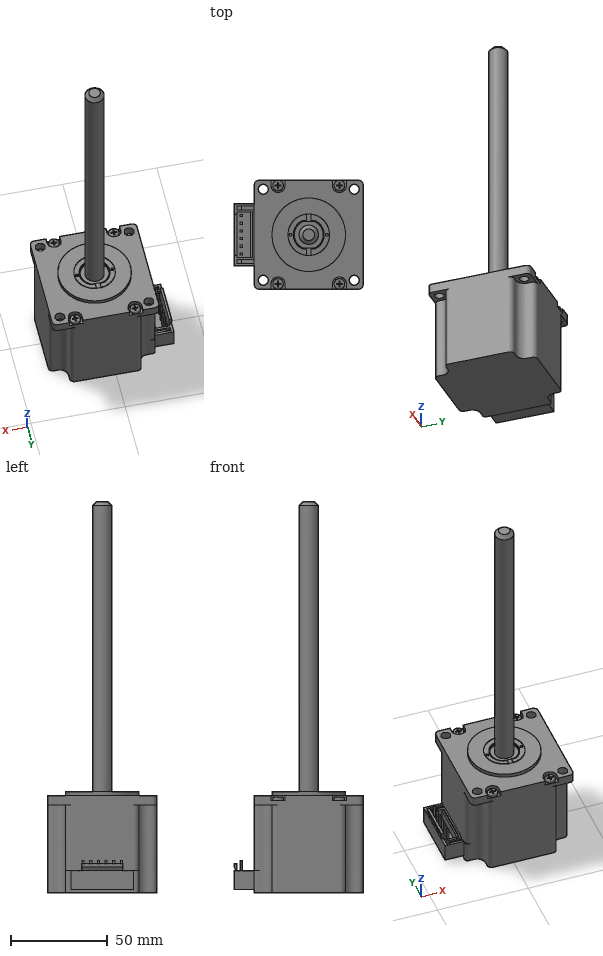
import cadquery as cq
import math

BODY_SIZE = 56.54
HALF = BODY_SIZE / 2
FLANGE_TOP = 50.4
FLANGE_THICKNESS = 5.0
FLANGE_BOTTOM = FLANGE_TOP - FLANGE_THICKNESS
FLANGE_CORNER_RADIUS = 2.5
REAR_CAP_TOP = 11.5
FRONT_CAP_BOTTOM = 39.5
MOUNT_OFFSET = 47.14 / 2
MOUNT_HOLE_DIA = 5.0
RELIEF_RADIUS = 4.6
LOBE_RADIUS = 2.4
REAR_LOBE_RADIUS = 1.6
WALL_THICKNESS = 0.5

PILOT_DIA = 38.1
PILOT_HEIGHT = 2.0
PILOT_TOP = FLANGE_TOP + PILOT_HEIGHT
RING_DIA = 21.5
RING_DEPTH = 0.3
RING_FACE = PILOT_TOP - RING_DEPTH
BORE_DIA = 16.0
BORE_STEP_DIA = 15.0
BORE_FLAT_OFFSET = 7.3
STEP_FLAT_OFFSET = 6.9
BORE_STEP_DEPTH = 0.5
BORE_DEPTH = 1.5
KEY_SLOT_WIDTH = 2.5
KEY_SLOT_DEPTH = 0.5
SPANNER_HOLE_DIA = 1.5
SPANNER_HOLE_OFFSET = (BORE_DIA + RING_DIA) / 4
SPANNER_HOLE_DEPTH = 1.0

OVERALL_HEIGHT = 202.7
SHAFT_DIA = 10.0
SHAFT_TIP_DIA = 6.0
SHAFT_CHAMFER = (SHAFT_DIA - SHAFT_TIP_DIA) / 2

SCREW_X = 15.9
SCREW_Y = 25.5
SCREW_POCKET_DIA = 7.2
SCREW_POCKET_DEPTH = 2.5
SCREW_HEAD_DIA = 5.5
SCREW_HEAD_HEIGHT = 1.7
SCREW_HEAD_ROUND = 0.6
CROSS_LENGTH = 3.0
CROSS_WIDTH = 0.5
CROSS_DEPTH = 1.0

OVERALL_X = 66.9
CONN_OUTER_X = HALF - OVERALL_X
CONN_WIDTH = 32.2
CONN_BOTTOM = 1.7
CONN_TOP = REAR_CAP_TOP
CAVITY_WIDTH = 23.4
CAVITY_OUTER_X = CONN_OUTER_X + 1.4
CAVITY_INNER_X = -HALF - 0.9
CAVITY_LEDGE = 0.9
LEDGE_DEPTH = 1.0
CAVITY_DEPTH = 6.0
GROOVE_WIDTH = 1.9
GROOVE_END_WALL = 1.3
GROOVE_DEPTH = 1.0
NOTCH_LENGTH = 2.3
NOTCH_DEPTH = 2.0
TAB_WIDTH = 21.3
TAB_THICKNESS = 0.6
TAB_HEIGHT = 3.7
HOOK_START = 0.2
HOOK_FULL = 1.8
PIN_COUNT = 6
PIN_PITCH = 3.96
PIN_SIZE = 1.14
PIN_X = -35.0
PIN_PROTRUSION = 5.2

SIGNS = (-1, 1)
CORNERS = [(sx, sy) for sx in SIGNS for sy in SIGNS]
OVERLAP = 0.5


def box_between(x_range, y_range, z_range):
    """Axis-aligned box spanning the three (low, high) ranges."""
    sizes = [high - low for low, high in (x_range, y_range, z_range)]
    corner = (x_range[0], y_range[0], z_range[0])
    return cq.Workplane("XY").box(*sizes, centered=False).translate(corner)


def cylinder(diameter, bottom, top, center=(0, 0)):
    """Vertical cylinder between two heights."""
    plane = cq.Workplane("XY", origin=(0, 0, bottom))
    return plane.center(*center).circle(diameter / 2).extrude(top - bottom)


def corner_relief(sx, sy, bottom, top, x_side_radius):
    """Cutter that leaves a concave corner with a convex lobe on either side."""
    inner = MOUNT_OFFSET - RELIEF_RADIUS
    outside = HALF + OVERLAP
    slope = math.sqrt(0.5)
    diagonal = MOUNT_OFFSET - RELIEF_RADIUS * slope
    rx = x_side_radius
    ry = LOBE_RADIUS

    def at(x, y):
        return (sx * x, sy * y)

    def lobe_middle(radius):
        return HALF - radius + radius * slope, inner - radius + radius * slope

    x_mid = lobe_middle(rx)
    y_mid = lobe_middle(ry)
    outline = (
        cq.Workplane("XY", origin=(0, 0, bottom))
        .moveTo(*at(outside, inner - rx))
        .lineTo(*at(HALF, inner - rx))
        .threePointArc(at(*x_mid), at(HALF - rx, inner))
        .lineTo(*at(MOUNT_OFFSET, inner))
        .threePointArc(at(diagonal, diagonal), at(inner, MOUNT_OFFSET))
        .lineTo(*at(inner, HALF - ry))
        .threePointArc(at(y_mid[1], y_mid[0]), at(inner - ry, HALF))
        .lineTo(*at(inner - ry, outside))
        .lineTo(*at(outside, outside))
        .close()
    )
    return outline.extrude(top - bottom)


def body_section(bottom, top, connector_side_radius=LOBE_RADIUS):
    """One length of the housing, square with a relief in each corner."""
    span = (-HALF, HALF)
    section = box_between(span, span, (bottom, top))
    for sx, sy in CORNERS:
        radius = connector_side_radius if sx < 0 else LOBE_RADIUS
        section = section.cut(corner_relief(sx, sy, bottom, top, radius))
    return section


def make_flange():
    """Front flange with rounded corners and four mounting holes."""
    flange = cq.Workplane("XY", origin=(0, 0, FLANGE_BOTTOM)).rect(BODY_SIZE, BODY_SIZE)
    flange = flange.extrude(FLANGE_THICKNESS).edges("|Z").fillet(FLANGE_CORNER_RADIUS)
    for sx, sy in CORNERS:
        center = (sx * MOUNT_OFFSET, sy * MOUNT_OFFSET)
        flange = flange.cut(cylinder(MOUNT_HOLE_DIA, FLANGE_BOTTOM, FLANGE_TOP, center))
    return flange


def connector_wall():
    """Outer skin of the connector-side flat, running from the rear face to the flange."""
    x_range = (-HALF, -HALF + WALL_THICKNESS)
    upper_half = MOUNT_OFFSET - RELIEF_RADIUS - LOBE_RADIUS
    rear_half = MOUNT_OFFSET - RELIEF_RADIUS - REAR_LOBE_RADIUS
    upper = box_between(x_range, (-upper_half, upper_half), (REAR_CAP_TOP, FLANGE_BOTTOM))
    return upper.union(box_between(x_range, (-rear_half, rear_half), (0, REAR_CAP_TOP)))


def make_housing():
    """Front cap with flange and wall, then stator and rear cap with their joint edges kept."""
    wall = connector_wall()
    housing = body_section(FRONT_CAP_BOTTOM, FLANGE_BOTTOM).union(make_flange()).union(wall).clean()
    stator = body_section(REAR_CAP_TOP, FRONT_CAP_BOTTOM).cut(wall)
    rear_cap = body_section(0, REAR_CAP_TOP, REAR_LOBE_RADIUS).cut(wall)
    pilot = cylinder(PILOT_DIA, FLANGE_TOP - OVERLAP, PILOT_TOP)
    for piece in (stator, rear_cap, pilot):
        housing = housing.union(piece, clean=False)
    return housing


def cut_bearing_recess(body):
    """Sunk bearing ring with a stepped flatted bore, key slots and spanner holes."""
    floor = PILOT_TOP - BORE_DEPTH
    step = RING_FACE - BORE_STEP_DEPTH
    ring_radius = RING_DIA / 2
    body = body.cut(cylinder(RING_DIA, RING_FACE, PILOT_TOP), clean=False)

    for diameter, flat_offset, bottom, top in (
        (BORE_DIA, BORE_FLAT_OFFSET, step, RING_FACE),
        (BORE_STEP_DIA, STEP_FLAT_OFFSET, floor, step),
    ):
        flats = box_between((-ring_radius, ring_radius), (-flat_offset, flat_offset), (bottom, top))
        body = body.cut(cylinder(diameter, bottom, top).intersect(flats), clean=False)

    slot_ends = cylinder(RING_DIA, RING_FACE - KEY_SLOT_DEPTH, RING_FACE)
    slot = box_between(
        (-KEY_SLOT_WIDTH / 2, KEY_SLOT_WIDTH / 2),
        (-ring_radius, ring_radius),
        (RING_FACE - KEY_SLOT_DEPTH, RING_FACE),
    )
    body = body.cut(slot.intersect(slot_ends), clean=False)

    for side in SIGNS:
        center = (side * SPANNER_HOLE_OFFSET, 0)
        hole = cylinder(SPANNER_HOLE_DIA, RING_FACE - SPANNER_HOLE_DEPTH, RING_FACE, center)
        body = body.cut(hole, clean=False)
    return body


def make_shaft():
    """Long plain shaft with a chamfered tip."""
    bottom = PILOT_TOP - BORE_DEPTH - OVERLAP
    return cylinder(SHAFT_DIA, bottom, OVERALL_HEIGHT).faces(">Z").chamfer(SHAFT_CHAMFER)


def screw_pocket(sx, sy):
    """Round-ended pocket in the flange, open to the Y side."""
    floor = FLANGE_TOP - SCREW_POCKET_DEPTH
    x, y = sx * SCREW_X, sy * SCREW_Y
    radius = SCREW_POCKET_DIA / 2
    y_range = sorted((y, sy * HALF))
    opening = box_between((x - radius, x + radius), y_range, (floor, FLANGE_TOP))
    return cylinder(SCREW_POCKET_DIA, floor, FLANGE_TOP, (x, y)).union(opening)


def screw_head(sx, sy):
    """Rounded screw head with a cross recess."""
    floor = FLANGE_TOP - SCREW_POCKET_DEPTH
    top = floor + SCREW_HEAD_HEIGHT
    x, y = sx * SCREW_X, sy * SCREW_Y
    head = cylinder(SCREW_HEAD_DIA, floor - OVERLAP, top, (x, y))
    head = head.faces(">Z").edges().fillet(SCREW_HEAD_ROUND)
    for size_x, size_y in ((CROSS_LENGTH, CROSS_WIDTH), (CROSS_WIDTH, CROSS_LENGTH)):
        recess = box_between(
            (x - size_x / 2, x + size_x / 2), (y - size_y / 2, y + size_y / 2), (top - CROSS_DEPTH, top)
        )
        head = head.cut(recess)
    return head


def make_connector_housing():
    """Connector box with an open-topped stepped cavity and two end grooves."""
    half_width = CONN_WIDTH / 2
    half_cavity = CAVITY_WIDTH / 2
    cavity_y = (-half_cavity, half_cavity)
    conn = box_between(
        (CONN_OUTER_X, -HALF + OVERLAP), (-half_width, half_width), (CONN_BOTTOM, CONN_TOP)
    )
    conn = conn.cut(
        box_between((CAVITY_OUTER_X, CAVITY_INNER_X), cavity_y, (CONN_TOP - LEDGE_DEPTH, CONN_TOP))
    )
    conn = conn.cut(
        box_between(
            (CAVITY_OUTER_X, CAVITY_INNER_X - CAVITY_LEDGE), cavity_y, (CONN_TOP - CAVITY_DEPTH, CONN_TOP)
        )
    )
    for side in SIGNS:
        groove_outer = half_width - GROOVE_END_WALL
        y_range = sorted((side * groove_outer, side * (groove_outer - GROOVE_WIDTH)))
        for length, depth in ((-HALF - CAVITY_OUTER_X, GROOVE_DEPTH), (NOTCH_LENGTH, NOTCH_DEPTH)):
            x_range = (CAVITY_OUTER_X, CAVITY_OUTER_X + length)
            conn = conn.cut(box_between(x_range, y_range, (CONN_TOP - depth, CONN_TOP)))
    return conn


def make_latch_tab():
    """Latch wall along the outer edge, hooked outwards at its top."""
    root = CAVITY_OUTER_X - TAB_THICKNESS
    profile = [
        (CAVITY_OUTER_X, CONN_TOP - OVERLAP),
        (CAVITY_OUTER_X, CONN_TOP + TAB_HEIGHT),
        (CONN_OUTER_X, CONN_TOP + TAB_HEIGHT),
        (CONN_OUTER_X, CONN_TOP + HOOK_FULL),
        (root, CONN_TOP + HOOK_START),
        (root, CONN_TOP - OVERLAP),
    ]
    return cq.Workplane("XZ").polyline(profile).close().extrude(TAB_WIDTH / 2, both=True)


def make_pin(index):
    """Square contact pin standing up from the cavity floor."""
    y = (index - (PIN_COUNT - 1) / 2) * PIN_PITCH
    half_pin = PIN_SIZE / 2
    bottom = CONN_TOP - CAVITY_DEPTH - OVERLAP
    return box_between(
        (PIN_X - half_pin, PIN_X + half_pin),
        (y - half_pin, y + half_pin),
        (bottom, CONN_TOP + PIN_PROTRUSION),
    )


body = cut_bearing_recess(make_housing())
body = body.union(make_shaft(), clean=False)
for sx, sy in CORNERS:
    body = body.cut(screw_pocket(sx, sy), clean=False)
    body = body.union(screw_head(sx, sy), clean=False)

connector = make_connector_housing().union(make_latch_tab())
for pin_index in range(PIN_COUNT):
    connector = connector.union(make_pin(pin_index))

result = body.union(connector, clean=False)